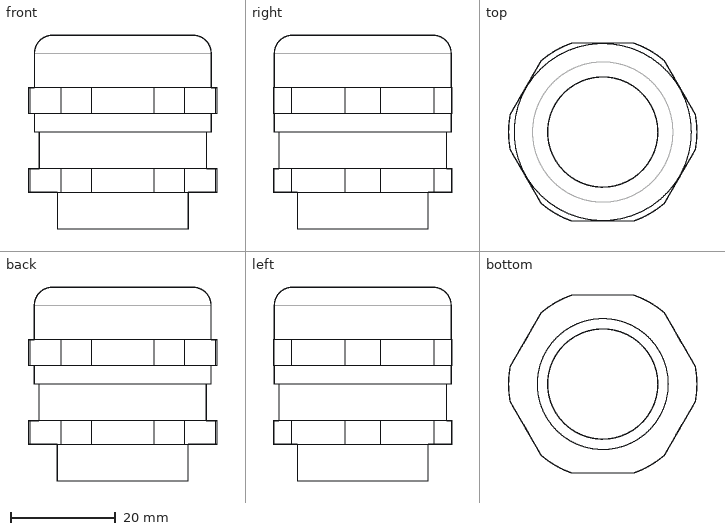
import cadquery as cq

total_height = 37.0
bore_diameter = 21.0

spigot_diameter = 25.0
spigot_height = 7.0

hex_across_flats = 34.0
hex_corner_diameter = 36.0
flat_angle = 90.0
lower_hex_height = 4.5
upper_hex_height = 5.0

body_diameter = 32.0
body_height = 7.0

cap_diameter = 33.8
collar_height = 3.5
cap_edge_radius = 3.5

lower_hex_base = spigot_height
body_base = lower_hex_base + lower_hex_height
collar_base = body_base + body_height
upper_hex_base = collar_base + collar_height
cap_height = total_height - collar_base


def cylinder(diameter, base, height):
    return cq.Workplane("XY").workplane(offset=base).circle(diameter / 2).extrude(height)


def hexagon(base, height):
    """Hexagonal prism with its six corners rounded by a concentric cylinder."""
    prism = (
        cq.Workplane("XY")
        .workplane(offset=base)
        .transformed(rotate=(0, 0, flat_angle))
        .polygon(6, hex_across_flats, circumscribed=True)
        .extrude(height)
    )
    return prism.intersect(cylinder(hex_corner_diameter, base, height))


spigot = cylinder(spigot_diameter, 0, spigot_height)
lower_hex = hexagon(lower_hex_base, lower_hex_height)
body = cylinder(body_diameter, body_base, body_height)
cap = cylinder(cap_diameter, collar_base, cap_height).faces(">Z").edges().fillet(cap_edge_radius)
upper_hex = hexagon(upper_hex_base, upper_hex_height)
bore = cylinder(bore_diameter, 0, total_height)

result = spigot.union(lower_hex).union(body).union(cap).union(upper_hex).cut(bore)